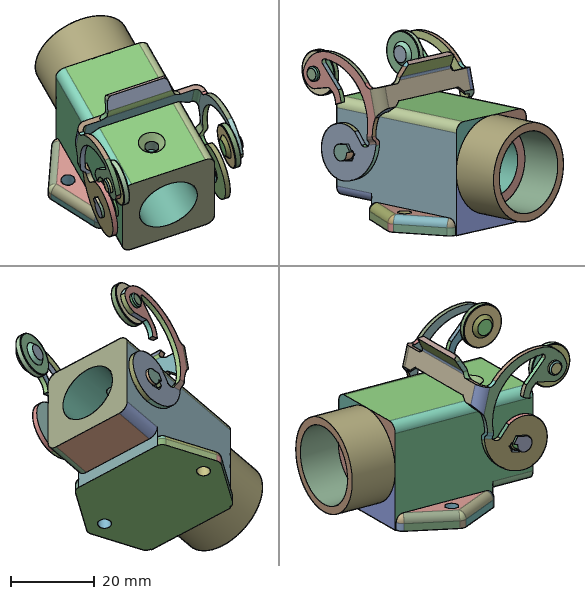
import cadquery as cq
import math


body_width = 24.0
body_height = 27.5
body_corner_radius = 2.4
tube_length = 12.35
cavity_depth = 10.9
body_end_x = 52.1
axis_height = body_height - body_width / 2
cavity_diameter = 20.0
bore_diameter = 15.0

foot_end_x = 40.5
flange_center_x = 26.6
flange_half_length = foot_end_x - flange_center_x
flange_tip_y = 20.25
flange_corner_y = 13.15
flange_height = 4.0
flange_radius = 2.0
mount_hole_diameter = 3.3
mount_hole_y = 15.0

screw_x = 42.1
screw_diameter = 3.35
screw_head_diameter = 6.35

sheet = 1.3
lever_outer_y = 16.55
arm_inner_y = lever_outer_y - sheet
disc_inner_y = arm_inner_y - sheet
lever_tilt = 14.0
shoulder = (36.5, 32.75)
bend_radius = 2 * sheet
joggle_top = -11.3
joggle_bottom = -13.3
joggle_reach = 5.75
disc_clearance = -5.45
cut_margin = 0.6
channel_reach = 27.25
channel_top = 15.15
channel_bottom = -30.3

relief_top_y = 10.2
relief_top_z = 29.45
relief_bottom_y = 13.1
relief_bottom_z = 27.15
relief_floor_z = 24.2

tab_tilt = 30.0
tab_length = 4.05
tab_bend_height = 1.1
tab_bend_radius = 1.0
tab_foot_y = 10.3
tab_foot_z = 33.25
tab_base_y = 8.6
tab_base_z = 34.65
tab_tip_y = 8.0
tab_tip_z = 37.4
tab_edge_y = 6.4
tab_edge_z = 38.7
tab_foot_curve_y = 9.2
tab_foot_curve_z = 33.7
tab_corner_y = 7.45
tab_corner_z = 38.3

pivot_x = 47.0
disc_radius = 6.95
pivot_radius = 2.05
collar_radius = 2.55
flare_radius = 2.85
flare_end_y = 12.55
collar_end_y = 13.55
pivot_end_y = 16.0

roller_radius = 5.5
roller_x = 60.6 - roller_radius
roller_z = 33.6
roller_inner_y = 13.7
roller_chamfer = 0.2
knob_end_y = 12.8
knob_base_radius = 2.95
knob_end_radius = 2.05
rivet_end_y = 17.5
rivet_radius = 1.8
rivet_chamfer = 0.35
arm_tip_radius = 3.7


def xz_plane(y):
    """Sketch plane at the given Y with local axes X and Z; extrusion runs toward -Y."""
    return cq.Workplane("XZ", origin=(0, y, 0))


def both_sides(solid):
    return solid.union(solid.mirror("XZ"))


def make_housing():
    middle_x = (tube_length + body_end_x) / 2
    block = (
        cq.Workplane("XY")
        .box(body_end_x - tube_length, body_width, body_width)
        .edges("|X")
        .fillet(body_corner_radius)
        .translate((middle_x, 0, axis_height))
    )
    foot = cq.Workplane("XY").box(
        foot_end_x - tube_length, body_width, axis_height, centered=(False, True, False)
    ).translate((tube_length, 0, 0))
    tube = (
        cq.Workplane("YZ")
        .center(0, axis_height)
        .circle(body_width / 2)
        .extrude(tube_length)
    )
    return block.union(foot).union(tube)


def make_flange():
    outline = [
        (flange_half_length, -flange_corner_y),
        (flange_half_length, flange_corner_y),
        (0, flange_tip_y),
        (-flange_half_length, flange_corner_y),
        (-flange_half_length, -flange_corner_y),
        (0, -flange_tip_y),
    ]
    plate = cq.Workplane("XY").polyline(outline).close().extrude(flange_height)
    plate = plate.edges("|Z or >Z").fillet(flange_radius)
    plate = (
        plate.faces("<Z")
        .workplane(origin=(0, 0, 0))
        .pushPoints([(0, mount_hole_y), (0, -mount_hole_y)])
        .hole(mount_hole_diameter)
    )
    return plate.translate((flange_center_x, 0, 0))


def cut_bores(housing):
    cavity = cq.Workplane("YZ").center(0, axis_height).circle(cavity_diameter / 2).extrude(cavity_depth)
    bore = cq.Workplane("YZ").center(0, axis_height).circle(bore_diameter / 2).extrude(body_end_x)
    screw = (
        cq.Workplane("XY", origin=(screw_x, 0, axis_height))
        .circle(screw_diameter / 2)
        .extrude(body_width / 2)
    )
    sink_depth = (screw_head_diameter - screw_diameter) / 2
    sink = cq.Workplane("XY").add(
        cq.Solid.makeCone(
            screw_diameter / 2,
            screw_head_diameter / 2,
            sink_depth,
            cq.Vector(screw_x, 0, body_height - sink_depth),
        )
    )
    return housing.cut(cavity).cut(bore).cut(screw).cut(sink)


def lever_point(across, along):
    """X and Z of a point in the leaning frame of the crossbar, measured from the shoulder."""
    lean = math.radians(lever_tilt)
    return (
        shoulder[0] + across * math.cos(lean) + along * math.sin(lean),
        shoulder[1] - across * math.sin(lean) + along * math.cos(lean),
    )


def lever_side_profile():
    """Side outline of the lever: crossbar, curved arm with its hook, and pivot disc."""
    diagonal = arm_tip_radius * math.sqrt(0.5)
    return (
        xz_plane(lever_outer_y + cut_margin)
        .moveTo(*lever_point(-bend_radius - cut_margin, 0))
        .lineTo(*shoulder)
        .threePointArc((37.5, 33.1), (38.3, 33.9))
        .threePointArc((43.85, 38.15), (52.0, 39.55))
        .threePointArc((56.8, 37.1), (roller_x + arm_tip_radius, roller_z))
        .threePointArc((roller_x + diagonal, roller_z - diagonal), (roller_x, roller_z - arm_tip_radius))
        .lineTo(50.4, 30.95)
        .threePointArc((49.05, 30.05), (48.1, 27.2))
        .lineTo(46.2, 27.9)
        .threePointArc((46.6, 29.7), (47.1, 30.95))
        .lineTo(52.4, 36.5)
        .threePointArc((52.35, 37.45), (51.6, 37.75))
        .threePointArc((41.55, 33.7), (38.15, 18.85))
        .threePointArc((39.55, 17.9), (40.5, 18.25))
        .lineTo(42.95, 21.2)
        .threePointArc((pivot_x + disc_radius, axis_height), (pivot_x, axis_height - disc_radius))
        .threePointArc((38.5, 12.65), (35.85, 18.85))
        .lineTo(35.85, 21.2)
        .threePointArc((35.6, 23.55), (34.8, 25.9))
        .lineTo(32.35, 28.7)
        .close()
        .extrude(2 * (lever_outer_y + cut_margin))
    )


def make_bent_sheet():
    """U-shaped sheet with side walls stepped inward, leaning with the crossbar."""
    wall_height = channel_top - joggle_top
    channel = (
        cq.Workplane("XY", origin=(-bend_radius, 0, joggle_top))
        .box(channel_reach, 2 * lever_outer_y, wall_height, centered=(False, True, False))
        .edges("|Z and <X")
        .fillet(bend_radius)
    )
    hollow = (
        cq.Workplane("XY", origin=(sheet - bend_radius, 0, joggle_top))
        .box(channel_reach, 2 * arm_inner_y, wall_height, centered=(False, True, False))
        .edges("|Z and <X")
        .fillet(bend_radius - sheet)
    )
    down = (0, -1)
    up = (0, 1)
    stepped_wall = (
        cq.Workplane("YZ", origin=(-bend_radius, 0, 0))
        .moveTo(lever_outer_y, joggle_top)
        .spline([(arm_inner_y, joggle_bottom)], tangents=[down, down], includeCurrent=True)
        .lineTo(arm_inner_y, channel_bottom)
        .lineTo(disc_inner_y, channel_bottom)
        .lineTo(disc_inner_y, joggle_bottom)
        .spline([(arm_inner_y, joggle_top)], tangents=[up, up], includeCurrent=True)
        .close()
        .extrude(channel_reach)
    )
    past_joggle = cq.Workplane("XY", origin=(joggle_reach, 0, joggle_bottom)).box(
        channel_reach,
        2 * (lever_outer_y + cut_margin),
        disc_clearance - joggle_bottom,
        centered=(False, True, False),
    )
    disc_wall = cq.Workplane("XY", origin=(joggle_reach, disc_inner_y, channel_bottom)).box(
        channel_reach, sheet, disc_clearance - channel_bottom, centered=False
    )
    bent = channel.cut(hollow).union(both_sides(stepped_wall))
    bent = bent.cut(past_joggle).union(both_sides(disc_wall))
    return bent.rotate((0, 0, 0), (0, 1, 0), lever_tilt).translate((shoulder[0], 0, shoulder[1]))


def make_thumb_tab():
    """Tab bent forward from the top of the crossbar, narrowing to a rounded edge."""
    front_bend = lever_point(-bend_radius, tab_bend_height)
    tab_angle = math.radians(tab_tilt)
    rise = (-tab_length * math.sin(tab_angle), tab_length * math.cos(tab_angle))
    offset = (sheet * math.cos(tab_angle), sheet * math.sin(tab_angle))
    half_turn = math.radians(lever_tilt + tab_tilt) / 2
    back_bend = lever_point(sheet - bend_radius, tab_bend_height + sheet * math.tan(half_turn))
    front_end = (front_bend[0] + rise[0], front_bend[1] + rise[1])
    back_end = (front_end[0] + offset[0], front_end[1] + offset[1])
    side = (
        xz_plane(lever_outer_y)
        .polyline(
            [
                lever_point(-bend_radius, -sheet),
                front_bend,
                front_end,
                back_end,
                back_bend,
                lever_point(sheet - bend_radius, -sheet),
            ]
        )
        .close()
        .extrude(2 * lever_outer_y)
    )
    for bend, radius in ((front_bend, tab_bend_radius), (back_bend, tab_bend_radius + sheet)):
        edge = cq.selectors.NearestToPointSelector((bend[0], 0, bend[1]))
        side = side.edges("|Y").edges(edge).fillet(radius)
    front = (
        cq.Workplane("YZ")
        .moveTo(-tab_foot_y, tab_foot_z - sheet)
        .lineTo(-tab_foot_y, tab_foot_z)
        .threePointArc((-tab_foot_curve_y, tab_foot_curve_z), (-tab_base_y, tab_base_z))
        .lineTo(-tab_tip_y, tab_tip_z)
        .threePointArc((-tab_corner_y, tab_corner_z), (-tab_edge_y, tab_edge_z))
        .lineTo(tab_edge_y, tab_edge_z)
        .threePointArc((tab_corner_y, tab_corner_z), (tab_tip_y, tab_tip_z))
        .lineTo(tab_base_y, tab_base_z)
        .threePointArc((tab_foot_curve_y, tab_foot_curve_z), (tab_foot_y, tab_foot_z))
        .lineTo(tab_foot_y, tab_foot_z - sheet)
        .close()
        .extrude(roller_x)
    )
    return side.intersect(front)


def make_lever():
    lever = make_bent_sheet().intersect(lever_side_profile())
    relief = (
        cq.Workplane("YZ")
        .polyline(
            [
                (-relief_top_y, relief_top_z),
                (relief_top_y, relief_top_z),
                (relief_bottom_y, relief_bottom_z),
                (relief_bottom_y, relief_floor_z),
                (-relief_bottom_y, relief_floor_z),
                (-relief_bottom_y, relief_bottom_z),
            ]
        )
        .close()
        .extrude(roller_x)
    )
    return lever.cut(relief).union(make_thumb_tab())


def pivot_sketch(y, points):
    shifted = [(pivot_x + x, axis_height + z) for x, z in points]
    return xz_plane(y).polyline(shifted).close()


def turned(points, x, z):
    """Solid of revolution about a Y-parallel axis, from (radius, y) points."""
    return (
        cq.Workplane("XY")
        .polyline(points)
        .close()
        .revolve(360, (0, 0, 0), (0, 1, 0))
        .translate((x, 0, z))
    )


def make_pivot_pin():
    shaft = turned(
        [
            (0, body_width / 2),
            (flare_radius, body_width / 2),
            (collar_radius, flare_end_y),
            (collar_radius, collar_end_y),
            (pivot_radius, collar_end_y),
            (pivot_radius, pivot_end_y),
            (0, pivot_end_y),
        ],
        pivot_x,
        axis_height,
    )
    ear_outline = [(0, 0), (1.0, 1.75), (-2.05, 2.35), (-2.85, 1.1), (-3.0, 0.6), (-2.05, 0.25)]
    ear = pivot_sketch(pivot_end_y, ear_outline).extrude(pivot_end_y - disc_inner_y)
    return shaft.union(ear)


def make_pin_slot():
    """Notch in the pivot disc beside the pin, as X and Z offsets from the pivot axis."""
    outline = [(0, 0), (-3.15, 0.85), (-4.0, 0.1), (-3.1, -1.65), (-0.9, -2.05)]
    return pivot_sketch(arm_inner_y, outline).extrude(sheet)


def make_roller():
    return turned(
        [
            (0, knob_end_y),
            (knob_end_radius, knob_end_y),
            (knob_base_radius, roller_inner_y),
            (roller_radius - roller_chamfer, roller_inner_y),
            (roller_radius, roller_inner_y + roller_chamfer),
            (roller_radius, arm_inner_y - roller_chamfer),
            (roller_radius - roller_chamfer, arm_inner_y),
            (rivet_radius, arm_inner_y),
            (rivet_radius, rivet_end_y - rivet_chamfer),
            (rivet_radius - rivet_chamfer, rivet_end_y),
            (0, rivet_end_y),
        ],
        roller_x,
        roller_z,
    )


housing = cut_bores(make_housing().union(make_flange()))
lever = make_lever().cut(both_sides(make_pin_slot()))
result = housing.union(lever)
for fitting in (make_pivot_pin(), make_roller()):
    result = result.union(both_sides(fitting))